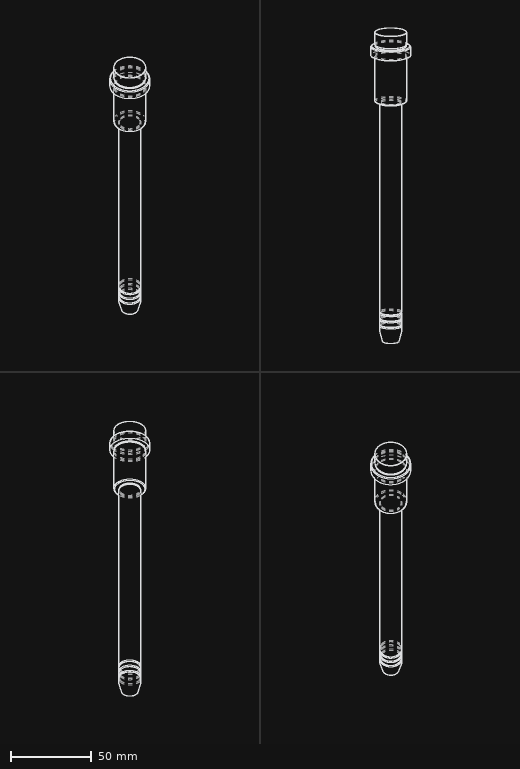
import cadquery as cq

total_length = 200.0

head_diameter = 20.0
collar_diameter = 25.0
shank_diameter = 14.0
tip_diameter = 10.5

collar_top = total_length - 9.0
collar_height = 6.0
collar_bottom = collar_top - collar_height
shoulder_bottom = total_length - 45.0
tip_length = 7.0

collar_chamfer = 0.5
shoulder_chamfer = 0.5
tip_fillet = 0.5
head_chamfer = 0.2

relief_width = 1.0
shank_relief_depth = 0.5
head_relief_depth = 0.2

ring_count = 3
ring_pitch = 4.0
first_ring_center = 10.5
ring_width = 1.2
ring_depth = 0.5


def cylinder(diameter, bottom, top):
    """Solid cylinder on the Z axis between two heights."""
    return cq.Workplane("XY").workplane(offset=bottom).circle(diameter / 2).extrude(top - bottom)


def groove_cutter(diameter, depth, bottom, width):
    """Square-section ring that cuts a groove into a cylinder of the given diameter."""
    return cylinder(diameter, bottom, bottom + width).cut(
        cylinder(diameter - 2 * depth, bottom, bottom + width)
    )


def vee_groove_cutter(diameter, depth, center_height, width):
    """Triangular ring that cuts a V groove into a cylinder of the given diameter."""
    radius = diameter / 2
    section = [
        (radius, center_height - width / 2),
        (radius - depth, center_height),
        (radius, center_height + width / 2),
    ]
    return cq.Workplane("XZ").polyline(section).close().revolve(360, (0, 0), (0, 1))


def tapered_tip():
    """Conical lead-in whose small end has a rounded edge."""
    return (
        cq.Workplane("XY")
        .circle(tip_diameter / 2)
        .workplane(offset=tip_length)
        .circle(shank_diameter / 2)
        .loft(ruled=True)
        .faces("<Z")
        .fillet(tip_fillet)
    )


shank = cylinder(shank_diameter, tip_length, shoulder_bottom)
for index in range(ring_count):
    ring_center = first_ring_center + index * ring_pitch
    shank = shank.cut(vee_groove_cutter(shank_diameter, ring_depth, ring_center, ring_width))
shank = shank.cut(
    groove_cutter(shank_diameter, shank_relief_depth, shoulder_bottom - relief_width, relief_width)
)

body = cylinder(head_diameter, shoulder_bottom, total_length)
body = body.faces("<Z").chamfer(shoulder_chamfer).faces(">Z").chamfer(head_chamfer)
for relief_bottom in (collar_top, collar_bottom - relief_width):
    body = body.cut(groove_cutter(head_diameter, head_relief_depth, relief_bottom, relief_width))

collar = cylinder(collar_diameter, collar_bottom, collar_top).faces(">Z").chamfer(collar_chamfer)

result = tapered_tip().union(shank).union(body).union(collar)